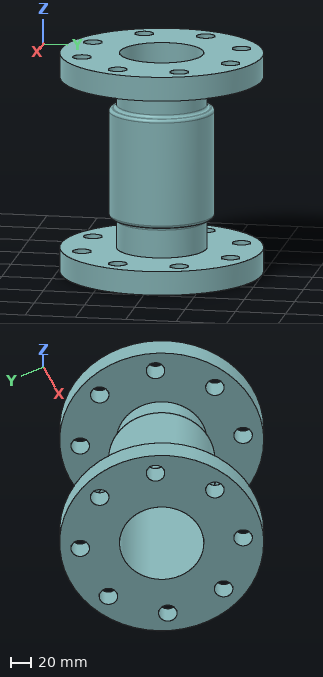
import cadquery as cq

total_length = 220.0
bore_diameter = 82.5

flange_diameter = 200.0
flange_thickness = 24.0
bolt_circle_diameter = 160.0
bolt_hole_diameter = 18.0
bolt_hole_count = 8

neck_diameter = 88.9
body_diameter = 103.8
body_length = total_length / 2
shoulder_radius = 3.0


def cylinder(diameter, length, base_z):
    """Upright cylinder on the Z axis, starting at base_z."""
    return cq.Workplane("XY").workplane(offset=base_z).circle(diameter / 2).extrude(length)


def stepped_tube():
    """Solid neck with the larger body, its shoulders blended by two fillets."""
    neck = cylinder(neck_diameter, total_length, -total_length / 2)
    body = cylinder(body_diameter, body_length, -body_length / 2)
    shoulder_corners = cq.selectors.BoxSelector(
        (-body_diameter, -body_diameter, -body_length / 2 - shoulder_radius),
        (body_diameter, body_diameter, body_length / 2 + shoulder_radius),
    )
    return neck.union(body).edges("%CIRCLE").edges(shoulder_corners).fillet(shoulder_radius)


def flange(base_z):
    """Flange disc with bolt holes straddling the X and Y axes."""
    first_hole_angle = 360 / bolt_hole_count / 2
    bolt_holes = (
        cq.Workplane("XY")
        .workplane(offset=base_z)
        .polarArray(bolt_circle_diameter / 2, first_hole_angle, 360, bolt_hole_count)
        .circle(bolt_hole_diameter / 2)
        .extrude(flange_thickness)
    )
    return cylinder(flange_diameter, flange_thickness, base_z).cut(bolt_holes)


bottom_flange = flange(-total_length / 2)
top_flange = flange(total_length / 2 - flange_thickness)
bore = cylinder(bore_diameter, total_length, -total_length / 2)

result = stepped_tube().union(bottom_flange).union(top_flange).cut(bore)